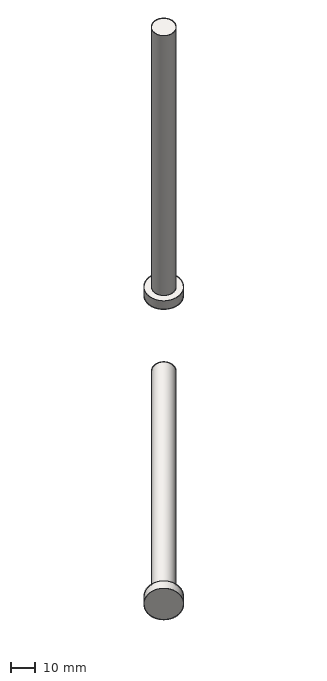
import cadquery as cq

total_length = 154.0
head_diameter = 16.0
head_height = 5.0
shank_diameter = 10.0

head = cq.Workplane("XY").circle(head_diameter / 2).extrude(head_height)
shank = cq.Workplane("XY").circle(shank_diameter / 2).extrude(total_length)

result = head.union(shank)